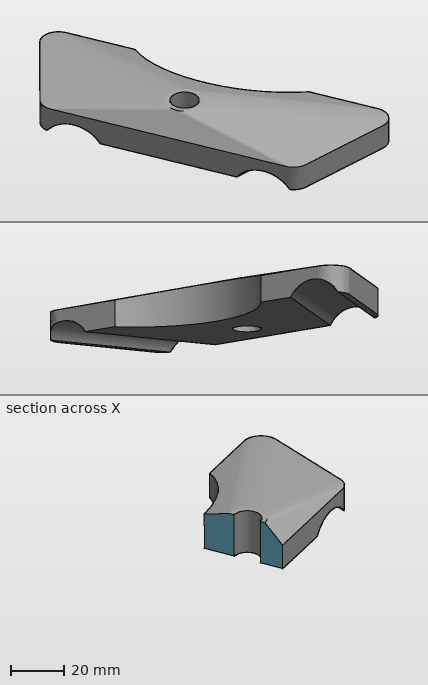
import cadquery as cq
import math

length = 142.5
depth = 50.0
edge_height = 10.3
height = 18.1
corner_radius = 7.1
front_flat_length = 96.6

hub_y = 15.1
hub_radius = 7.5
hole_diameter = 11.0

cutout_radius = 47.0
cutout_depth = 16.5

groove_front_x = 39.0
groove_radius = 11.7
groove_height = 5.5
groove_overrun = 42.8

back_corner_x = length / 2 - corner_radius
back_corner_y = depth - corner_radius
front_corner_x = front_flat_length / 2
front_corner_y = corner_radius
end_angle = math.degrees(math.atan2(back_corner_x - front_corner_x, back_corner_y - front_corner_y))

corners = [
    (front_corner_x, front_corner_y, -90, -end_angle),
    (back_corner_x, back_corner_y, -end_angle, 90),
    (-back_corner_x, back_corner_y, 90, 180 + end_angle),
    (-front_corner_x, front_corner_y, 180 + end_angle, 270),
]


def circle_point(x, y, radius, angle, z):
    turn = math.radians(angle)
    return cq.Vector(x + radius * math.cos(turn), y + radius * math.sin(turn), z)


def arc(x, y, radius, start, end, z):
    angles = (start, (start + end) / 2, end)
    return cq.Edge.makeThreePointArc(*[circle_point(x, y, radius, a, z) for a in angles])


def rim_edges(z):
    """Alternating corner arcs and straight sides of the plate outline."""
    edges = []
    for index, (x, y, start, end) in enumerate(corners):
        next_x, next_y, next_start, _ = corners[(index + 1) % len(corners)]
        edges.append(arc(x, y, corner_radius, start, end, z))
        side_start = circle_point(x, y, corner_radius, end, z)
        side_end = circle_point(next_x, next_y, corner_radius, next_start, z)
        edges.append(cq.Edge.makeLine(side_start, side_end))
    return edges


def make_body():
    """Each side rises as a triangle to the hub; each corner rises as a cone to an arc of the hub."""
    base = rim_edges(0)
    rim = rim_edges(edge_height)
    hub = [arc(0, hub_y, hub_radius, start, end, height) for _, _, start, end in corners]
    faces = [cq.Face.makeFromWires(cq.Wire.assembleEdges(base))]
    faces.append(cq.Face.makeFromWires(cq.Wire.assembleEdges(hub)))
    for lower, upper in zip(base, rim):
        faces.append(cq.Face.makeRuledSurface(lower, upper))
    for corner_arc, side, hub_arc in zip(rim[::2], rim[1::2], hub):
        faces.append(cq.Face.makeRuledSurface(corner_arc, hub_arc))
        triangle = [side.startPoint(), side.endPoint(), hub_arc.endPoint()]
        faces.append(cq.Face.makeFromWires(cq.Wire.makePolygon(triangle, close=True)))
    return cq.Workplane(cq.Solid.makeSolid(cq.Shell.makeShell(faces)).fix())


def make_hole():
    return cq.Workplane().center(0, hub_y).circle(hole_diameter / 2).extrude(height)


def make_cutout():
    center_y = depth - cutout_depth + cutout_radius
    return cq.Workplane().center(0, center_y).circle(cutout_radius).extrude(height)


def make_groove(side):
    turn = math.radians(end_angle)
    direction = cq.Vector(side * math.sin(turn), math.cos(turn), 0)
    front_center = cq.Vector(side * groove_front_x, 0, groove_height - groove_radius)
    start = front_center - direction * groove_overrun
    groove_length = depth / math.cos(turn) + 2 * groove_overrun
    return cq.Workplane(cq.Solid.makeCylinder(groove_radius, groove_length, start, direction))


result = make_body().cut(make_hole()).cut(make_cutout())
for side in (-1, 1):
    result = result.cut(make_groove(side))